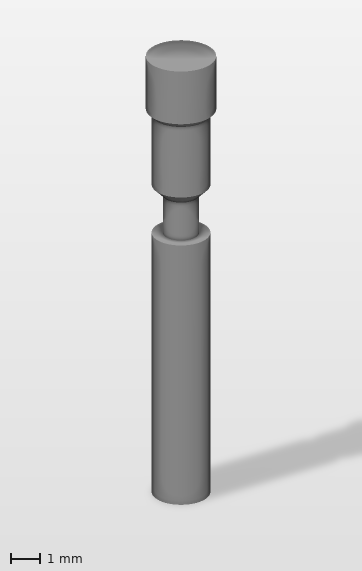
import cadquery as cq

total_length = 16.5
head_diameter = 2.4
body_diameter = 2.0
neck_diameter = 1.24

lower_body_length = 9.82
neck_length = 1.44
head_length = 2.0

neck_taper = (body_diameter - neck_diameter) / 2
head_taper = (head_diameter - body_diameter) / 2

neck_top = lower_body_length + neck_length
upper_body_bottom = neck_top + neck_taper
head_bottom = total_length - head_length
upper_body_top = head_bottom - head_taper

profile = [
    (0, 0),
    (body_diameter / 2, 0),
    (body_diameter / 2, lower_body_length),
    (neck_diameter / 2, lower_body_length),
    (neck_diameter / 2, neck_top),
    (body_diameter / 2, upper_body_bottom),
    (body_diameter / 2, upper_body_top),
    (head_diameter / 2, head_bottom),
    (head_diameter / 2, total_length),
    (0, total_length),
]

result = cq.Workplane("XZ").polyline(profile).close().revolve(360, (0, 0, 0), (0, 1, 0))